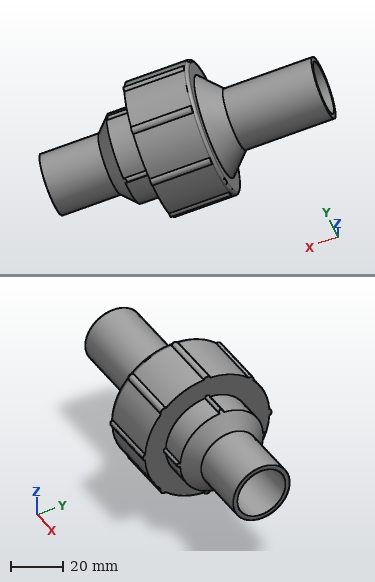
import cadquery as cq
import math

total_length = 112.0
pipe_radius = 12.5
bore_radius = 10.6

nut_start = 44.9
nut_end = 71.0
nut_radius = 27.5
nut_edge_round = 1.3

rib_count = 8
rib_tip_radius = 28.5
rib_width = 3.0
rib_height = rib_tip_radius - nut_radius

front_cone_start = 36.5
front_cone_radius = pipe_radius + nut_start - front_cone_start

body_radius = 18.4
rear_cone_end = 87.8
body_end = rear_cone_end - (body_radius - pipe_radius)

ridge_count = 4
ridge_radius = 1.0


def revolve_profile(points):
    """Revolve a closed (x, radius) outline about the X axis."""
    return cq.Workplane("XY").polyline(points).close().revolve(360, (0, 0, 0), (1, 0, 0))


def repeat_around_axis(shape, count):
    """Return copies of a shape evenly spaced around the X axis."""
    copies = cq.Workplane("XY")
    for index in range(count):
        copies = copies.add(shape.rotate((0, 0, 0), (1, 0, 0), index * 360 / count))
    return copies.combine()


def make_pipe_and_body():
    return revolve_profile([
        (0, 0),
        (0, pipe_radius),
        (front_cone_start, pipe_radius),
        (nut_start, front_cone_radius),
        (nut_end, front_cone_radius),
        (nut_end, body_radius),
        (body_end, body_radius),
        (rear_cone_end, pipe_radius),
        (total_length, pipe_radius),
        (total_length, 0),
    ])


def make_nut():
    nut = cq.Workplane("YZ").workplane(offset=nut_start).circle(nut_radius).extrude(nut_end - nut_start)
    return nut.faces("<X").edges().fillet(nut_edge_round)


def make_nut_ribs():
    """Rounded ribs starting where the rounded nut edge ends."""
    rib_start = nut_start + nut_edge_round
    half_width = rib_width / 2
    base_height = math.sqrt(nut_radius**2 - half_width**2)
    root_height = nut_radius - 2 * rib_height
    rib = (
        cq.Workplane("YZ")
        .workplane(offset=rib_start)
        .moveTo(-half_width, root_height)
        .lineTo(-half_width, base_height)
        .threePointArc((0, rib_tip_radius), (half_width, base_height))
        .lineTo(half_width, root_height)
        .close()
        .extrude(nut_end - rib_start)
    )
    return repeat_around_axis(rib, rib_count)


def make_body_ridges():
    """Ridges whose rear ends are trimmed by the extended rear cone."""
    ridge = (
        cq.Workplane("YZ")
        .workplane(offset=nut_end)
        .center(0, body_radius)
        .circle(ridge_radius)
        .extrude(body_end - nut_end)
    )
    tip_radius = body_radius + ridge_radius
    tip_end = body_end - ridge_radius
    envelope = revolve_profile([
        (nut_end, 0),
        (nut_end, tip_radius),
        (tip_end, tip_radius),
        (rear_cone_end, pipe_radius),
        (rear_cone_end, 0),
    ])
    return repeat_around_axis(ridge, ridge_count).intersect(envelope)


bore = cq.Workplane("YZ").circle(bore_radius).extrude(total_length)
result = (
    make_pipe_and_body()
    .union(make_nut())
    .union(make_nut_ribs())
    .union(make_body_ridges())
    .cut(bore)
)